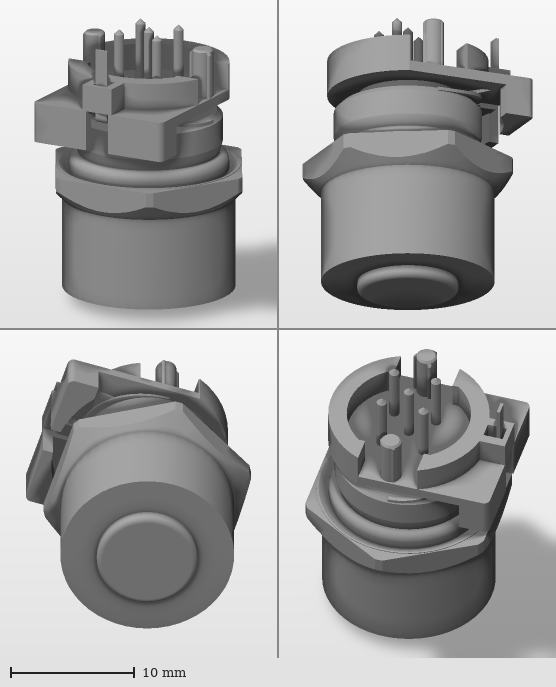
import cadquery as cq
import math

TOTAL_HEIGHT = 22.7
BARREL_BOTTOM = 0.98
BARREL_TOP = 8.54
HEX_TOP = 11.21
HEX_FACE_TOP = 11.28
SEAT_TOP = 11.55
WAIST_Z = 12.3
BODY_BOTTOM = 13.28
BODY_TOP = 15.82
PLATE_BOTTOM = 16.8
PLATE_TOP = 17.64
SKIRT_BOTTOM = 14.35
WALL_TOP = 19.82

CORE_RADIUS = 4.09
CORE_ROUND = 0.45
BARREL_RADIUS = 7.01
WAIST_RADIUS = 5.75
BODY_RADIUS = 6.0
BODY_CHAMFER = 0.48

HEX_FLATS = 15.03
HEX_CORNER_DIAMETER = 17.0
HEX_CORNER_RADIUS = HEX_CORNER_DIAMETER / 2
HEX_FACE_RADIUS = 7.45
SINK_RADIUS = 7.29
SINK_DEPTH = 0.45

SEAT_RADIUS = 6.5
SEAL_ROUND = WAIST_Z - SEAT_TOP

WALL_OUTER_RADIUS = 6.51
WALL_INNER_RADIUS = 5.02
CARRIER_HALF_WIDTH = 6.0
CARRIER_FRONT = -8.5
CORNER_ROUND = 0.5
WALL_GAP = 4.95
WALL_OPENING_WIDTH = 8.04
SKIRT_BACK = -6.02
SLOT_WIDTH = 2.05
BOSS_WIDTH = 2.72
BOSS_HOLE_WIDTH = 1.23
BOSS_HOLE_BACK = -6.47
BOSS_HOLE_FRONT = -8.08
CLEARANCE_RADIUS = 7.75
LEDGE_BOTTOM = 17.27

PIN_RADIUS = 0.4
PIN_TIP = 0.4
PIN_SPACING = 3.52
POST_X = 5.02
POST_RADIUS = 0.85
POST_TOP = 21.63
POST_CHAMFER = 0.15
RIB_RADIUS = 0.15
SMALL_RIB_REACH = 0.93
LARGE_RIB_REACH = 1.1
RIB_ANGLES = (90, 210, 330)

SPRING_UNDERSIDE = 15.48
SPRING_LAYER = 0.27
SPRING_BEND_RADIUS = 14.75
SPRING_BLOCK_WIDTH = 8.35
SPRING_BLOCK_FRONT = -5.56
BLADE_WIDTH = 1.07
BLADE_THICKNESS = 0.27
BLADE_FRONT = -7.83
BLADE_BOTTOM = 16.57
BLADE_BEND = 0.48


def disc(radius, bottom, top):
    return cq.Workplane("XY").workplane(offset=bottom).circle(radius).extrude(top - bottom)


def box(x_size, y_min, y_max, z_min, z_max):
    """Box centred on X."""
    corner = cq.Vector(-x_size / 2, y_min, z_min)
    return cq.Workplane(cq.Solid.makeBox(x_size, y_max - y_min, z_max - z_min, pnt=corner))


def turned_body():
    profile = (
        cq.Workplane("XZ")
        .moveTo(0, 0)
        .lineTo(CORE_RADIUS - CORE_ROUND, 0)
        .radiusArc((CORE_RADIUS, CORE_ROUND), -CORE_ROUND)
        .lineTo(CORE_RADIUS, BARREL_BOTTOM)
        .lineTo(BARREL_RADIUS, BARREL_BOTTOM)
        .lineTo(BARREL_RADIUS, BARREL_TOP)
        .lineTo(WAIST_RADIUS, BARREL_TOP)
        .lineTo(WAIST_RADIUS, WAIST_Z)
        .lineTo(BODY_RADIUS, BODY_BOTTOM)
        .lineTo(BODY_RADIUS, BODY_TOP - BODY_CHAMFER)
        .lineTo(BODY_RADIUS - BODY_CHAMFER, BODY_TOP)
        .lineTo(CORE_RADIUS, BODY_TOP)
        .lineTo(CORE_RADIUS, PLATE_BOTTOM)
        .lineTo(0, PLATE_BOTTOM)
        .close()
    )
    return profile.revolve(360, (0, 0, 0), (0, 1, 0))


def hexagon():
    """Hexagon with a 45 degree cone below, a raised face ring and a countersink on top."""
    across_corners = HEX_FLATS / math.cos(math.pi / 6)
    base = cq.Workplane("XY").workplane(offset=BARREL_TOP)
    blank = base.polygon(6, across_corners).extrude(HEX_TOP - BARREL_TOP)
    cone_height = HEX_CORNER_RADIUS - BARREL_RADIUS
    envelope = (
        cq.Workplane("XZ")
        .moveTo(0, BARREL_TOP)
        .lineTo(BARREL_RADIUS, BARREL_TOP)
        .lineTo(HEX_CORNER_RADIUS, BARREL_TOP + cone_height)
        .lineTo(HEX_CORNER_RADIUS, HEX_TOP)
        .lineTo(0, HEX_TOP)
        .close()
        .revolve(360, (0, 0, 0), (0, 1, 0))
    )
    sink = (
        cq.Workplane("XZ")
        .moveTo(0, HEX_FACE_TOP - SINK_DEPTH)
        .lineTo(SEAT_RADIUS, HEX_FACE_TOP - SINK_DEPTH)
        .lineTo(SINK_RADIUS, HEX_FACE_TOP)
        .lineTo(0, HEX_FACE_TOP)
        .close()
        .revolve(360, (0, 0, 0), (0, 1, 0))
    )
    face_ring = disc(HEX_FACE_RADIUS, HEX_TOP, HEX_FACE_TOP)
    return blank.intersect(envelope).union(face_ring).cut(sink)


def sealing_ring():
    """Rounded seal standing on a straight flange."""
    return (
        cq.Workplane("XZ")
        .moveTo(0, BARREL_TOP)
        .lineTo(SEAT_RADIUS, BARREL_TOP)
        .lineTo(SEAT_RADIUS, SEAT_TOP)
        .radiusArc((SEAT_RADIUS - SEAL_ROUND, WAIST_Z), -SEAL_ROUND)
        .lineTo(0, WAIST_Z)
        .close()
        .revolve(360, (0, 0, 0), (0, 1, 0))
    )


def carrier():
    """Plate with a split round wall, a front skirt and a boss for the ground blade."""
    width = 2 * CARRIER_HALF_WIDTH
    back_limit = WALL_OUTER_RADIUS
    front_block = box(width, CARRIER_FRONT, 0, SKIRT_BOTTOM, PLATE_TOP)
    front_block = front_block.edges("|Z and <Y").fillet(CORNER_ROUND)
    under_plate = box(width, SKIRT_BACK, 0, SKIRT_BOTTOM, PLATE_BOTTOM)
    round_plate = disc(WALL_OUTER_RADIUS, PLATE_BOTTOM, WALL_TOP)
    round_plate = round_plate.intersect(box(width, -back_limit, back_limit, PLATE_BOTTOM, WALL_TOP))

    opening = disc(WALL_INNER_RADIUS, PLATE_TOP, WALL_TOP)
    opening = opening.intersect(box(WALL_OPENING_WIDTH, -back_limit, back_limit, PLATE_TOP, WALL_TOP))
    gap = box(width, -WALL_GAP / 2, WALL_GAP / 2, PLATE_TOP, WALL_TOP)

    boss = box(BOSS_WIDTH, CARRIER_FRONT, -WALL_INNER_RADIUS, PLATE_TOP, WALL_TOP)
    boss_hole = box(BOSS_HOLE_WIDTH, BOSS_HOLE_FRONT, BOSS_HOLE_BACK, PLATE_TOP, WALL_TOP)
    skirt_slot = box(SLOT_WIDTH, CARRIER_FRONT, SKIRT_BACK, SKIRT_BOTTOM, PLATE_TOP)

    clearance = disc(CLEARANCE_RADIUS, SKIRT_BOTTOM, PLATE_BOTTOM)
    ledge = (
        cq.Workplane("YZ")
        .moveTo(SKIRT_BACK, PLATE_TOP)
        .lineTo(BOSS_HOLE_BACK, PLATE_TOP)
        .lineTo(BOSS_HOLE_BACK, LEDGE_BOTTOM)
        .lineTo(SKIRT_BACK, PLATE_BOTTOM)
        .close()
        .extrude(SLOT_WIDTH / 2, both=True)
    )

    solid = front_block.cut(under_plate).cut(clearance).union(round_plate).union(boss)
    return solid.cut(opening).cut(gap).cut(boss_hole).cut(skirt_slot).union(ledge)


def pin(x, y):
    shank_top = TOTAL_HEIGHT - PIN_TIP
    shank = disc(PIN_RADIUS, PLATE_BOTTOM, shank_top)
    tip = cq.Workplane(cq.Solid.makeCone(PIN_RADIUS, 0, PIN_TIP, pnt=cq.Vector(0, 0, shank_top)))
    return shank.union(tip).translate((x, y, 0))


def post(x, rib_reach):
    """Locating post with three crush ribs and a conical lead-in."""
    solid = disc(POST_RADIUS, PLATE_BOTTOM, POST_TOP)
    for angle in RIB_ANGLES:
        rib = disc(RIB_RADIUS, PLATE_BOTTOM, POST_TOP).translate((rib_reach - RIB_RADIUS, 0, 0))
        solid = solid.union(rib.rotate((0, 0, 0), (0, 0, 1), angle))
    height = POST_TOP - PLATE_BOTTOM
    tip_radius = POST_RADIUS - POST_CHAMFER
    lead_in = cq.Solid.makeCone(tip_radius + height, tip_radius, height, pnt=cq.Vector(0, 0, PLATE_BOTTOM))
    return solid.intersect(cq.Workplane(lead_in)).translate((x, 0, 0))


def spring_layer(underside):
    """Sheet as wide as the body that curves upward from Y = 0 toward the front."""
    def rise(y):
        return SPRING_BEND_RADIUS - math.sqrt(SPRING_BEND_RADIUS**2 - y**2)

    def curve_point(fraction, level):
        y = -fraction * BODY_RADIUS
        return (y, level + rise(y))

    topside = underside + SPRING_LAYER
    return (
        cq.Workplane("YZ")
        .moveTo(0, underside)
        .threePointArc(curve_point(0.5, underside), curve_point(1, underside))
        .lineTo(*curve_point(1, topside))
        .threePointArc(curve_point(0.5, topside), (0, topside))
        .close()
        .extrude(BODY_RADIUS, both=True)
    )


def spring():
    """Two round-edged arms with flat-sided blocks on top, parted at the front slot."""
    arms = spring_layer(SPRING_UNDERSIDE)
    arms = arms.intersect(disc(BODY_RADIUS, BODY_BOTTOM, PLATE_TOP))
    blocks = spring_layer(SPRING_UNDERSIDE + SPRING_LAYER)
    blocks = blocks.intersect(box(SPRING_BLOCK_WIDTH, SPRING_BLOCK_FRONT, 0, BODY_BOTTOM, PLATE_TOP))
    parting = box(SLOT_WIDTH, -BODY_RADIUS, 0, BODY_BOTTOM, PLATE_TOP)
    core = disc(CORE_RADIUS, BODY_BOTTOM, PLATE_TOP)
    return arms.union(blocks).cut(parting).cut(core)


def blade():
    """Upright blade bent at its foot, running back to a wider foot under the plate."""
    back = BLADE_FRONT + BLADE_THICKNESS
    floor_top = BLADE_BOTTOM + BLADE_THICKNESS
    inner_bend = BLADE_BEND - BLADE_THICKNESS
    foot = box(SLOT_WIDTH, SKIRT_BACK, -WALL_INNER_RADIUS, BLADE_BOTTOM, PLATE_BOTTOM)
    strip = (
        cq.Workplane("YZ")
        .moveTo(BLADE_FRONT, TOTAL_HEIGHT)
        .lineTo(BLADE_FRONT, BLADE_BOTTOM + BLADE_BEND)
        .radiusArc((BLADE_FRONT + BLADE_BEND, BLADE_BOTTOM), -BLADE_BEND)
        .lineTo(-WALL_INNER_RADIUS, BLADE_BOTTOM)
        .lineTo(-WALL_INNER_RADIUS, floor_top)
        .lineTo(back + inner_bend, floor_top)
        .radiusArc((back, floor_top + inner_bend), inner_bend)
        .lineTo(back, TOTAL_HEIGHT)
        .close()
        .extrude(BLADE_WIDTH / 2, both=True)
    )
    return strip.union(foot)


result = turned_body().union(hexagon()).union(sealing_ring()).union(carrier())
result = result.union(spring())
result = result.union(blade())

result = result.union(pin(0, 0))
for x_side in (-1, 1):
    for y_side in (-1, 1):
        result = result.union(pin(x_side * PIN_SPACING / 2, y_side * PIN_SPACING / 2))

result = result.union(post(-POST_X, SMALL_RIB_REACH)).union(post(POST_X, LARGE_RIB_REACH))